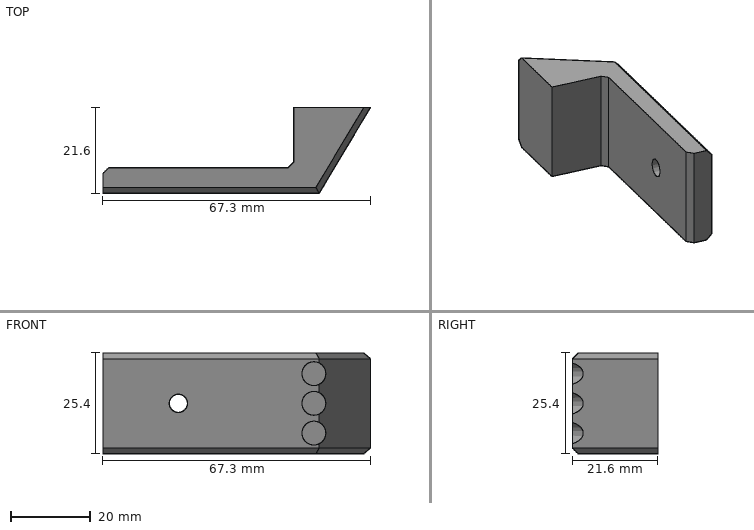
import cadquery as cq
import math

length = 67.35
depth = 21.6
height = 25.4

plate_thickness = 6.45
block_left = 47.95
front_length = 54.4
slant_direction = math.degrees(math.atan2(depth, length - front_length))

bevel = 1.5
corner_web = 1.4

plate_hole_diameter = 4.5
plate_hole_x = 19.0
pocket_diameter = 6.0
pocket_x = 53.05
pocket_pitch = 7.5
pocket_count = 3
pocket_depth = plate_thickness


def body():
    """Profile in the XY plane, extruded to the full height."""
    return (
        cq.Workplane("XY")
        .moveTo(0, 0)
        .lineTo(front_length, 0)
        .lineTo(length, depth)
        .lineTo(block_left, depth)
        .lineTo(block_left, plate_thickness + corner_web)
        .lineTo(block_left - corner_web, plate_thickness)
        .lineTo(bevel, plate_thickness)
        .lineTo(0, plate_thickness - bevel)
        .close()
        .extrude(height)
    )


def front_bevel_cutter():
    """Triangular bars that bevel the top and bottom edges of the front face."""
    profile = cq.Workplane("YZ")
    bottom = profile.polyline([(0, 0), (bevel, 0), (0, bevel)]).close().extrude(length)
    return bottom.union(bottom.mirror("XY", (0, 0, height / 2)))


def slant_bevel_cutter():
    """The same bars, turned about the front right corner to follow the slanted face."""
    bars = front_bevel_cutter().translate((-length / 2, 0, 0))
    return bars.rotate((0, 0, 0), (0, 0, 1), slant_direction).translate((front_length, 0, 0))


def front_hole(diameter, x, z, hole_depth):
    """Cylinder reaching from the front face into the part."""
    return (
        cq.Workplane("XZ")
        .center(x, z)
        .circle(diameter / 2)
        .extrude(-hole_depth)
    )


result = body().cut(front_bevel_cutter()).cut(slant_bevel_cutter())

result = result.cut(front_hole(plate_hole_diameter, plate_hole_x, height / 2, plate_thickness))

for index in range(pocket_count):
    offset = (index - (pocket_count - 1) / 2) * pocket_pitch
    result = result.cut(front_hole(pocket_diameter, pocket_x, height / 2 + offset, pocket_depth))